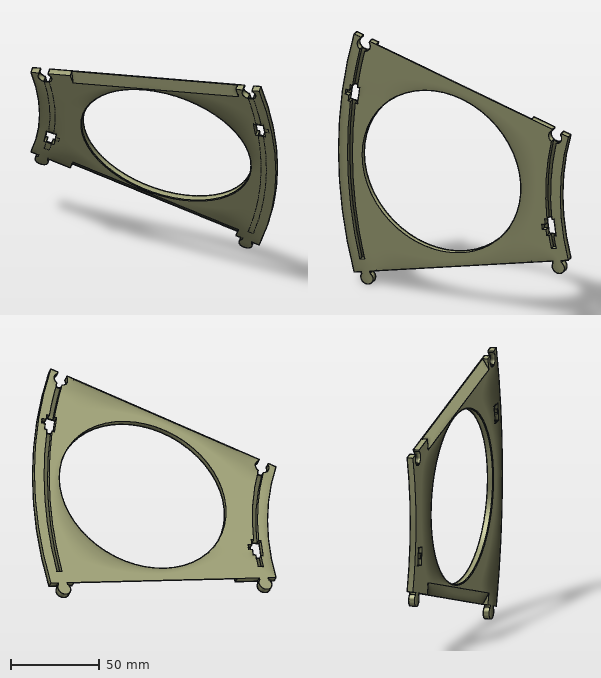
import cadquery as cq
import math

inner_radius = 150.0
outer_radius = 290.0
half_angle = 15.0
thickness = 3.6

opening_center = 225.0
opening_radius = 50.0
opening_chamfer = 0.5

inner_pitch = 157.6
outer_pitch = 282.7
lobe_offset = 3.9
pin_radius = 3.9
socket_radius = 4.0
neck_width = 5.6

slot_angle = half_angle / 2
slot_length = 10.3
slot_width = 6.0

front_skin = 0.6
groove_width = 3.1

branch_reach = 2.3

bevel_start = 174.2
bevel_end = 275.7
bevel_width = 6.7
bevel_land = 0.5


def front_plane():
    """Sketch plane on the front face, x right and z up, extruding forward."""
    return cq.Workplane("XZ")


def through(sketch):
    return sketch.extrude(-thickness)


def turn(body, angle):
    """Rotate a body about the ring axis, counterclockwise seen from the front."""
    return body.rotate((0, 0, 0), (0, 1, 0), -angle)


def polar(radius, angle):
    a = math.radians(angle)
    return radius * math.cos(a), radius * math.sin(a)


def sector():
    outline = (
        front_plane()
        .moveTo(*polar(inner_radius, -half_angle))
        .lineTo(*polar(outer_radius, -half_angle))
        .threePointArc((outer_radius, 0), polar(outer_radius, half_angle))
        .lineTo(*polar(inner_radius, half_angle))
        .threePointArc((inner_radius, 0), polar(inner_radius, -half_angle))
        .close()
    )
    return through(outline)


def lobe(pitch, radius, angle):
    """Round lobe just below the radial line at the given angle, with its neck."""
    disc = through(front_plane().center(pitch, -lobe_offset).circle(radius))
    neck = through(front_plane().center(pitch, -lobe_offset / 2).rect(neck_width, lobe_offset))
    return turn(disc.union(neck), angle)


def slot(pitch, angle):
    return turn(through(front_plane().center(pitch, 0).rect(slot_width, slot_length)), angle)


def upper_bevel():
    """Triangular wedge that thins the upper side edge to a narrow land at the back."""
    wedge = (
        cq.Workplane("YZ", origin=(bevel_start, 0, 0))
        .polyline([(0, -bevel_width), (0, 0), (thickness - bevel_land, 0)])
        .close()
        .extrude(bevel_end - bevel_start)
    )
    return turn(wedge, half_angle)


def opening():
    hole = through(front_plane().center(opening_center, 0).circle(opening_radius))
    flare = cq.Solid.makeCone(
        opening_radius + opening_chamfer,
        opening_radius,
        opening_chamfer,
        pnt=cq.Vector(opening_center, 0, 0),
        dir=cq.Vector(0, 1, 0),
    )
    return hole.union(cq.Workplane(flare))


def back_plane():
    """Sketch plane at the back of the front skin; cuts run from here to the back face."""
    return cq.Workplane("XZ", origin=(0, front_skin, 0))


def groove(pitch):
    """Arc groove from the socket center to the root of the pin."""
    inner = pitch - groove_width / 2
    outer = pitch + groove_width / 2
    socket_angle = half_angle - math.degrees(lobe_offset / pitch)
    pin_root_angle = math.degrees(2 * lobe_offset / pitch) - half_angle
    return (
        back_plane()
        .moveTo(*polar(inner, pin_root_angle))
        .threePointArc((inner, 0), polar(inner, socket_angle))
        .lineTo(*polar(outer, socket_angle))
        .threePointArc((outer, 0), polar(outer, pin_root_angle))
        .close()
        .extrude(front_skin - thickness)
    )


def groove_branch(pitch, angle):
    reach = slot_width / 2 + branch_reach
    sketch = back_plane().center(pitch + reach / 2, 0).rect(reach, groove_width)
    return turn(sketch.extrude(front_skin - thickness), angle)


bevel = upper_bevel()
result = sector().cut(bevel).cut(bevel.mirror("XY")).cut(opening())

for pitch, angle in ((inner_pitch, -slot_angle), (outer_pitch, slot_angle)):
    result = result.cut(lobe(pitch, socket_radius, half_angle))
    result = result.union(lobe(pitch, pin_radius, -half_angle))
    result = result.cut(groove(pitch))
    result = result.cut(slot(pitch, angle))
    result = result.cut(groove_branch(pitch, angle))